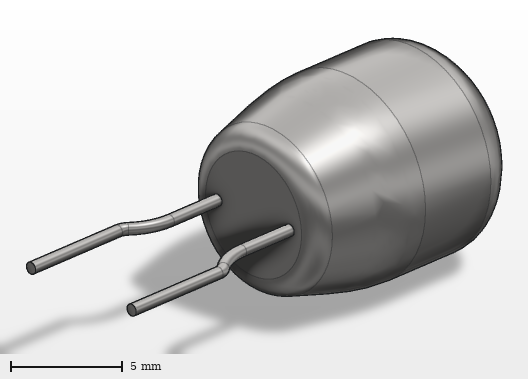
import cadquery as cq
import math

total_length = 24.15
body_height = 13.15
lead_length = total_length - body_height

body_radius = 5.1
dome_start = 10.0
taper_start = 5.82
rim_height = 0.87
rim_radius = 4.1
base_radius = 3.02
dome_shoulder_pull = 1.33
dome_crown_pull = 2.9
taper_end_slope = 0.25

wire_radius = 0.3
inner_offset = 2.27
outer_offset = 3.16
kink_start = -3.05
kink_end = -5.45
lower_bend_radius = 0.72
embed_depth = 0.48


def make_body():
    taper_pull = (taper_start - rim_height) / 3
    rim_width = rim_radius - base_radius
    rim_arc_radius = (rim_width**2 + rim_height**2) / (2 * rim_height)
    half_angle = math.atan2(rim_height, rim_width)
    rim_mid = (
        base_radius + rim_arc_radius * math.sin(half_angle),
        rim_arc_radius * (1 - math.cos(half_angle)),
    )
    profile = (
        cq.Workplane("XY")
        .moveTo(0, 0)
        .lineTo(base_radius, 0)
        .threePointArc(rim_mid, (rim_radius, rim_height))
        .bezier([
            (rim_radius, rim_height),
            (rim_radius + taper_end_slope * taper_pull, rim_height + taper_pull),
            (body_radius, taper_start - taper_pull),
            (body_radius, taper_start),
        ])
        .lineTo(body_radius, dome_start)
        .bezier([
            (body_radius, dome_start),
            (body_radius, dome_start + dome_shoulder_pull),
            (dome_crown_pull, body_height),
            (0, body_height),
        ])
        .close()
    )
    return profile.revolve(360, (0, 0, 0), (0, 1, 0))


def make_lead(side):
    """Wire on the +X (side = 1) or -X (side = -1) half of the base."""
    kink_shift = outer_offset - inner_offset
    kink_length = kink_start - kink_end
    bend_angle = 2 * math.atan2(kink_shift, kink_length)
    upper_bend_radius = kink_length / math.sin(bend_angle) - lower_bend_radius

    def upper_point(angle):
        x = inner_offset + upper_bend_radius * (1 - math.cos(angle))
        return (side * x, kink_start - upper_bend_radius * math.sin(angle))

    def lower_point(angle):
        x = outer_offset - lower_bend_radius * (1 - math.cos(angle))
        return (side * x, kink_end + lower_bend_radius * math.sin(angle))

    path = (
        cq.Workplane("XY")
        .moveTo(side * inner_offset, embed_depth)
        .lineTo(side * inner_offset, kink_start)
        .threePointArc(upper_point(bend_angle / 2), upper_point(bend_angle))
        .threePointArc(lower_point(bend_angle / 2), (side * outer_offset, kink_end))
        .lineTo(side * outer_offset, -lead_length)
    )
    section = cq.Workplane("XZ", origin=(side * inner_offset, embed_depth, 0)).circle(wire_radius)
    return section.sweep(path)


result = make_body()
for lead_side in (-1, 1):
    result = result.union(make_lead(lead_side))